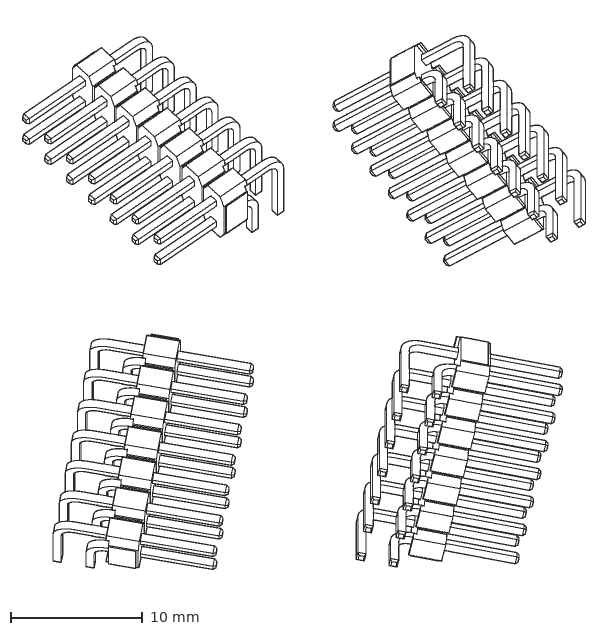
import cadquery as cq

row_length = 17.78
position_count = 7
pitch = row_length / position_count

web_reach = 0.1
block_width = pitch - 2 * web_reach
block_height = 5.01
block_depth = pitch
block_top_width = 1.5
flank_height = 3.38
web_front_setback = 0.18
lip_depth = 0.25
lip_height = 0.43
back_face_y = block_depth - lip_depth

pin_size = 0.64
pin_tip_length = 0.21
pin_tip_inset = 0.12
pin_front_reach = 5.81
pin_bottom_reach = 3.02
upper_leg_reach = 4.2
bend_outer_radius = 1.62
bend_inner_radius = bend_outer_radius - pin_size

pin_front_y = -pin_front_reach
pin_bottom_z = -block_height / 2 - pin_bottom_reach
upper_pin_z = pitch / 2
upper_leg_y = block_depth + upper_leg_reach - pin_size / 2


def prism_along_y(outline, start_y, end_y):
    """Extrude an outline of (x, z) points from start_y to end_y."""
    plane = cq.Workplane("XZ", origin=(0, end_y, 0))
    return plane.polyline(outline).close().extrude(end_y - start_y)


def box_between(width, start_y, end_y, bottom_z, top_z):
    """Box centred on X = 0."""
    size = (width, end_y - start_y, top_z - bottom_z)
    corner = (-width / 2, start_y, bottom_z)
    return cq.Workplane("XY", origin=corner).box(*size, centered=False)


def make_block():
    """Octagonal block with side webs that meet the neighbours, and lips along its back edges."""
    half_width = block_width / 2
    half_top = block_top_width / 2
    half_height = block_height / 2
    half_flank = flank_height / 2
    octagon = [
        (-half_top, half_height),
        (half_top, half_height),
        (half_width, half_flank),
        (half_width, -half_flank),
        (half_top, -half_height),
        (-half_top, -half_height),
        (-half_width, -half_flank),
        (-half_width, half_flank),
    ]
    body = prism_along_y(octagon, 0, block_depth)

    lip_inner_z = half_height - lip_height
    back_recess = box_between(block_width, back_face_y, block_depth, -lip_inner_z, lip_inner_z)
    web = box_between(pitch, web_front_setback, back_face_y, -half_flank, half_flank)
    return body.cut(back_recess).union(web)


def make_tip(base_center, direction):
    """Tapered square end of a pin, growing from base_center along direction."""
    end_size = pin_size - 2 * pin_tip_inset
    base_plane = cq.Plane(origin=base_center, xDir=(1, 0, 0), normal=direction)
    base = cq.Workplane(base_plane).rect(pin_size, pin_size)
    return base.workplane(offset=pin_tip_length).rect(end_size, end_size).loft(combine=True)


def make_pin(axis_z, leg_y):
    """Right-angle pin: straight along Y at height axis_z, then bent down into a leg at leg_y."""
    half_pin = pin_size / 2
    front_base_y = pin_front_y + pin_tip_length
    bottom_base_z = pin_bottom_z + pin_tip_length

    horizontal = box_between(pin_size, front_base_y, leg_y + half_pin, axis_z - half_pin, axis_z + half_pin)
    leg = box_between(pin_size, leg_y - half_pin, leg_y + half_pin, bottom_base_z, axis_z)
    bar = horizontal.union(leg)
    outer_corner = cq.selectors.NearestToPointSelector((0, leg_y + half_pin, axis_z + half_pin))
    inner_corner = cq.selectors.NearestToPointSelector((0, leg_y - half_pin, axis_z - half_pin))
    bar = bar.edges(outer_corner).fillet(bend_outer_radius)
    bar = bar.edges(inner_corner).fillet(bend_inner_radius)

    front_tip = make_tip((0, front_base_y, axis_z), (0, -1, 0))
    bottom_tip = make_tip((0, leg_y, bottom_base_z), (0, 0, -1))
    return bar.union(front_tip).union(bottom_tip)


def make_position():
    """One header position: its block with the upper pin and, one pitch below and ahead, the lower pin."""
    upper_pin = make_pin(upper_pin_z, upper_leg_y)
    lower_pin = make_pin(upper_pin_z - pitch, upper_leg_y - pitch)
    return make_block().union(upper_pin).union(lower_pin)


position = make_position()
header_positions = []
for index in range(position_count):
    center_x = (index - (position_count - 1) / 2) * pitch
    header_positions.append(position.translate((center_x, 0, 0)).val())

result = cq.Compound.makeCompound(header_positions)